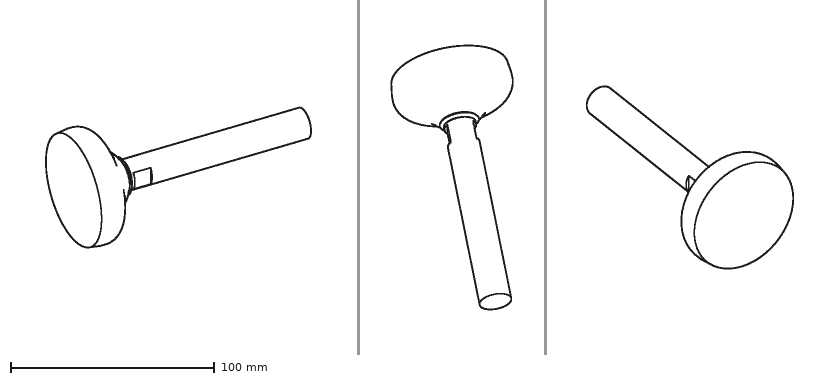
import cadquery as cq
import math

total_length = 128
rim_bottom = 6.1
rim_top = 8.8
shoulder_top = 15.4
cove_bottom = 19.7
cove_top = 21.2
dome_top = 26.2
lip_level = 27.0
lip_mouth = 28.0
rod_bottom = 28.3

sole_radius = 29.2
rim_radius = 60.0 / 2
shoulder_radius = 25.0
cove_bottom_radius = 16.8
cove_top_radius = 15.1
dome_top_radius = 9.2
lip_radius = 9.9
dome_bulge = 0.4
cove_depth = 0.06

rod_radius = 16.0 / 2
neck_radius = 7.0
flat_distance = 12.8
flat_length = 9.6
flat_start = 29.8

shoulder_mid = (28.5, 12.7)


def bowed_midpoint(start, end, bow):
    """Middle of an arc whose sagitta is bow, positive away from the axis."""
    radial = end[0] - start[0]
    axial = end[1] - start[1]
    chord = math.hypot(radial, axial)
    return (
        (start[0] + end[0]) / 2 + bow * axial / chord,
        (start[1] + end[1]) / 2 - bow * radial / chord,
    )


def spin(profile):
    """Revolve a (radius, level) profile around the Y axis."""
    return profile.close().revolve(360, (0, 0, 0), (0, 1, 0))


def make_foot():
    """Bell-shaped foot with a sharp lip around its blind spindle socket."""
    cove_start = (cove_bottom_radius, cove_bottom)
    cove_end = (cove_top_radius, cove_top)
    dome_end = (dome_top_radius, dome_top)
    profile = (
        cq.Workplane("XY")
        .lineTo(sole_radius, 0)
        .lineTo(rim_radius, rim_bottom)
        .lineTo(rim_radius, rim_top)
        .threePointArc(shoulder_mid, (shoulder_radius, shoulder_top))
        .lineTo(*cove_start)
        .threePointArc(bowed_midpoint(cove_start, cove_end, -cove_depth), cove_end)
        .threePointArc(bowed_midpoint(cove_end, dome_end, dome_bulge), dome_end)
        .lineTo(lip_radius, lip_level)
        .lineTo(neck_radius, lip_mouth)
        .lineTo(neck_radius, cove_top)
        .lineTo(0, cove_top)
    )
    return spin(profile)


def make_spindle():
    """Round rod with two wrench flats and a neck seated in the foot."""
    profile = (
        cq.Workplane("XY")
        .moveTo(0, cove_top)
        .lineTo(neck_radius, cove_top)
        .lineTo(neck_radius, rod_bottom)
        .lineTo(rod_radius, rod_bottom)
        .lineTo(rod_radius, total_length)
        .lineTo(0, total_length)
    )
    rod = spin(profile)
    for side in (-1, 1):
        flat_cutter = cq.Workplane("XY").box(rod_radius, flat_length, 2 * rod_radius)
        flat_cutter = flat_cutter.translate(
            (side * (flat_distance + rod_radius) / 2, flat_start + flat_length / 2, 0)
        )
        rod = rod.cut(flat_cutter)
    return rod


foot = make_foot()
spindle = make_spindle()
result = cq.Compound.makeCompound([foot.val(), spindle.val()])